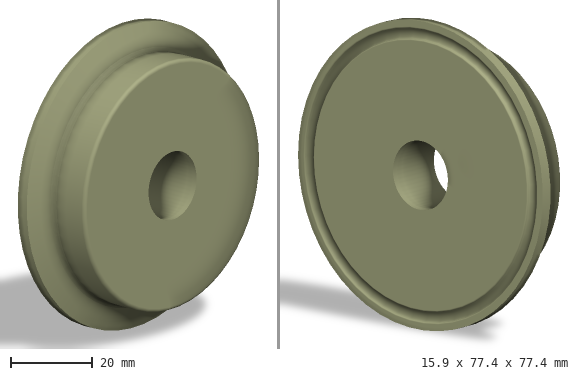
import cadquery as cq
import math

total_length = 15.9
flange_radius = 38.7
rim_thickness = 3.0
hub_radius = 31.8
hub_edge_radius = 0.9
neck_fillet_radius = 1.4
bevel_angle = math.radians(20)
bore_radius = 8.7

groove_center_radius = 35.3
groove_half_width = 1.7
groove_arc_radius = 1.4
lip_radius = 0.35


def revolve_about_axis(outline):
    """Turn a closed outline in the XY plane into a ring around the X axis."""
    return outline.revolve(360, (0, 0, 0), (1, 0, 0))


def make_body():
    """Flange with a bevelled back, continuing into a cylindrical hub with a plain bore."""
    bevel_end = rim_thickness + (flange_radius - hub_radius) * math.tan(bevel_angle)
    outline = (
        cq.Workplane("XY")
        .moveTo(0, bore_radius)
        .lineTo(0, flange_radius)
        .lineTo(rim_thickness, flange_radius)
        .lineTo(bevel_end, hub_radius)
        .lineTo(total_length, hub_radius)
        .lineTo(total_length, bore_radius)
        .close()
    )
    body = revolve_about_axis(outline)

    hub_rank = 1
    hub_circles = body.edges(cq.selectors.RadiusNthSelector(hub_rank))
    body = hub_circles.edges("<X").fillet(neck_fillet_radius)
    hub_edge = body.faces(">X").edges(cq.selectors.RadiusNthSelector(hub_rank))
    return hub_edge.fillet(hub_edge_radius)


def make_groove():
    """Ring to remove: a bottom arc running tangentially into a rounded lip on each side."""
    center_distance = groove_arc_radius + lip_radius
    center_offset = math.sqrt(center_distance**2 - groove_half_width**2)
    groove_depth = lip_radius - center_offset + groove_arc_radius

    touch_x = lip_radius * (1 - center_offset / center_distance)
    touch_offset = groove_arc_radius * groove_half_width / center_distance

    outline = (
        cq.Workplane("XY")
        .moveTo(0, groove_center_radius - groove_half_width)
        .radiusArc((touch_x, groove_center_radius - touch_offset), lip_radius)
        .threePointArc(
            (groove_depth, groove_center_radius),
            (touch_x, groove_center_radius + touch_offset),
        )
        .radiusArc((0, groove_center_radius + groove_half_width), lip_radius)
        .close()
    )
    return revolve_about_axis(outline)


result = make_body().cut(make_groove())